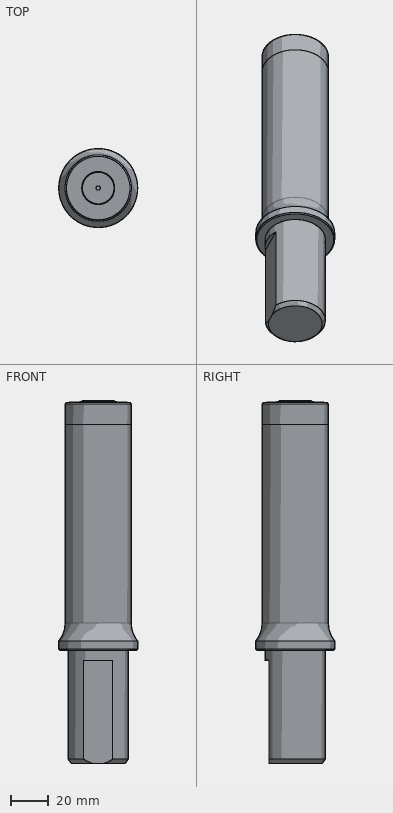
import cadquery as cq
import math

total_height = 193.0

shank_diameter = 32.0
shank_chamfer_width = 1.7
shank_chamfer_height = 2.3
flat_width = 15.5
flat_top = 54.8

collar_diameter = 42.0
collar_bottom = 60.2
collar_top = 65.0
collar_chamfer = 0.5
flare_top = 74.7

barrel_diameter = 35.3
tip_bottom = 180.3
tip_chamfer = 0.8
tip_edge_height = 192.0

disc_diameter = 17.5
disc_height = 0.5
disc_chamfer = 0.4
center_hole_diameter = 2.3
center_hole_depth = 3.9


def revolve_profile(profile):
    """Turn a closed (radius, z) outline about the Z axis."""
    return profile.close().revolve(360, (0, 0, 0), (0, 1, 0))


def make_holder():
    shank_radius = shank_diameter / 2
    collar_radius = collar_diameter / 2
    barrel_radius = barrel_diameter / 2

    flare_rise = flare_top - collar_top
    flare_run = collar_radius - barrel_radius
    flare_radius = (flare_rise**2 + flare_run**2) / (2 * flare_run)
    half_angle = math.asin(flare_rise / flare_radius) / 2
    flare_middle = (
        barrel_radius + flare_radius * (1 - math.cos(half_angle)),
        flare_top - flare_radius * math.sin(half_angle),
    )

    profile = (
        cq.Workplane("XZ")
        .moveTo(0, 0)
        .lineTo(shank_radius - shank_chamfer_width, 0)
        .lineTo(shank_radius, shank_chamfer_height)
        .lineTo(shank_radius, collar_bottom)
        .lineTo(collar_radius - collar_chamfer, collar_bottom)
        .lineTo(collar_radius, collar_bottom + collar_chamfer)
        .lineTo(collar_radius, collar_top)
        .threePointArc(flare_middle, (barrel_radius, flare_top))
        .lineTo(barrel_radius, tip_bottom)
        .lineTo(0, tip_bottom)
    )
    holder = revolve_profile(profile)

    flat_distance = math.sqrt(shank_radius**2 - (flat_width / 2) ** 2)
    flat_cutter = cq.Workplane("XY").box(
        shank_diameter, shank_radius, flat_top, centered=(True, False, False)
    ).translate((0, -flat_distance - shank_radius, 0))
    return holder.cut(flat_cutter)


def make_tip():
    tip_radius = barrel_diameter / 2
    disc_radius = disc_diameter / 2
    disc_bottom = total_height - disc_height

    profile = (
        cq.Workplane("XZ")
        .moveTo(0, tip_bottom)
        .lineTo(tip_radius, tip_bottom)
        .lineTo(tip_radius, tip_edge_height - tip_chamfer)
        .lineTo(tip_radius - tip_chamfer, tip_edge_height)
        .lineTo(disc_radius, disc_bottom)
        .lineTo(disc_radius, total_height - disc_chamfer)
        .lineTo(disc_radius - disc_chamfer, total_height)
        .lineTo(0, total_height)
    )
    center_hole = (
        cq.Workplane("XY", origin=(0, 0, total_height))
        .circle(center_hole_diameter / 2)
        .extrude(-center_hole_depth)
    )
    return revolve_profile(profile).cut(center_hole)


holder = make_holder()
tip = make_tip()

result = cq.Compound.makeCompound([holder.val(), tip.val()])